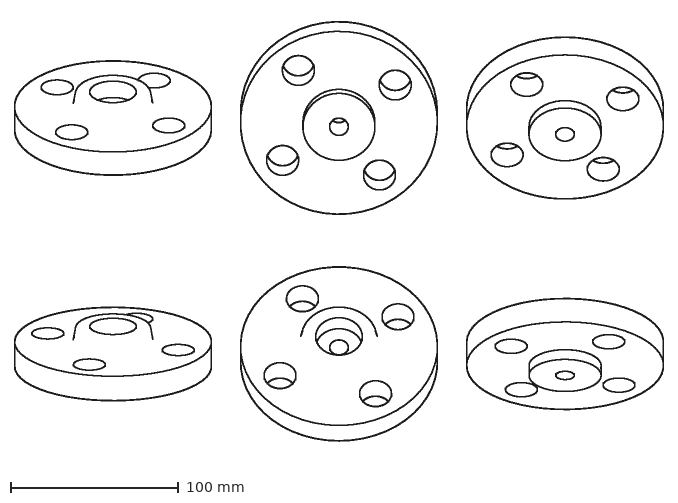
import cadquery as cq
import math

flange_diameter = 117.3
flange_thickness = 15.6

face_diameter = 42.9
face_height = 6.5

hub_base_diameter = 47.9
hub_height = 9.7
hub_taper_angle = 10.0
hub_edge_radius = 1.5

socket_diameter = 27.7
socket_depth = 11.0
bore_diameter = 11.0

bolt_count = 4
bolt_circle_diameter = 82.6
bolt_hole_diameter = 19.0

flange_bottom = face_height
flange_top = flange_bottom + flange_thickness
hub_top = flange_top + hub_height
socket_floor = hub_top - socket_depth


def revolved_body():
    """Sealing face, disc and tapered hub as one solid of revolution."""
    face_radius = face_diameter / 2
    flange_radius = flange_diameter / 2
    hub_base_radius = hub_base_diameter / 2
    hub_top_radius = hub_base_radius - hub_height * math.tan(math.radians(hub_taper_angle))
    profile = (
        cq.Workplane("XZ")
        .moveTo(0, 0)
        .lineTo(face_radius, 0)
        .lineTo(face_radius, flange_bottom)
        .lineTo(flange_radius, flange_bottom)
        .lineTo(flange_radius, flange_top)
        .lineTo(hub_base_radius, flange_top)
        .lineTo(hub_top_radius, hub_top)
        .lineTo(0, hub_top)
        .close()
    )
    return profile.revolve(360, (0, 0, 0), (0, 1, 0))


def round_hub(body):
    """Round the hub's top rim and blend its foot into the disc with one radius."""
    hub_wall = body.faces(cq.selectors.TypeSelector("CONE"))
    return hub_wall.edges("%CIRCLE").fillet(hub_edge_radius)


def cut_bore(body):
    """Through bore opening into a wider socket at the hub end."""
    bore = cq.Workplane("XY").circle(bore_diameter / 2).extrude(hub_top)
    socket = (
        cq.Workplane("XY")
        .workplane(offset=socket_floor)
        .circle(socket_diameter / 2)
        .extrude(socket_depth)
    )
    return body.cut(bore).cut(socket)


def cut_bolt_holes(body):
    """Bolt holes through the disc, the first one on the X axis."""
    holes = (
        cq.Workplane("XY")
        .workplane(offset=flange_bottom)
        .polarArray(bolt_circle_diameter / 2, 0, 360, bolt_count)
        .circle(bolt_hole_diameter / 2)
        .extrude(flange_thickness)
    )
    return body.cut(holes)


result = cut_bolt_holes(cut_bore(round_hub(revolved_body())))